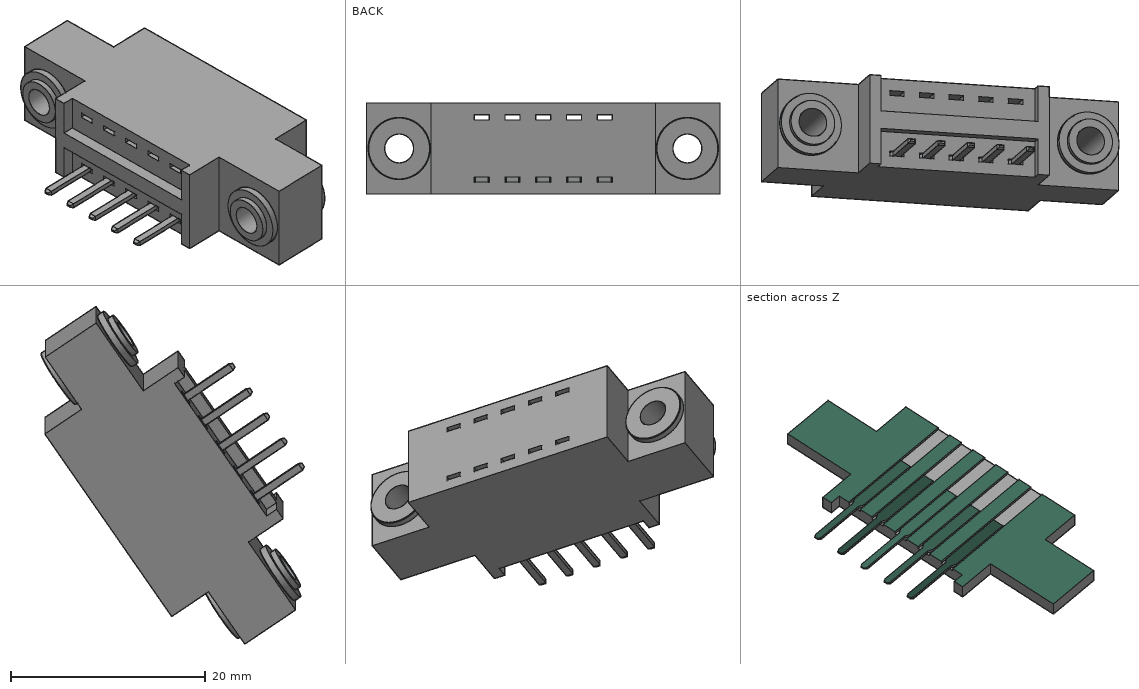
import cadquery as cq


TOTAL_LENGTH = 36.45
HOUSING_HEIGHT = 9.4
EAR_DEPTH = 6.35
REAR_BLOCK_LENGTH = 23.2
REAR_BLOCK_DEPTH = 4.6
FRONT_BLOCK_LENGTH = 19.2
FRONT_BLOCK_DEPTH = 4.35
REAR_FACE_Y = EAR_DEPTH + REAR_BLOCK_DEPTH
HOUSING_DEPTH = FRONT_BLOCK_DEPTH + REAR_FACE_Y

RECESS_LENGTH = 16.8
RECESS_DEPTH = 1.25
WEB_HEIGHT = 1.85
RECESS_HEIGHT = (HOUSING_HEIGHT - WEB_HEIGHT) / 2
RECESS_FLOOR_Y = -FRONT_BLOCK_DEPTH + RECESS_DEPTH

CONTACT_COUNT = 5
CONTACT_PITCH = 3.17
CONTACT_X = [CONTACT_PITCH * (i - (CONTACT_COUNT - 1) / 2) for i in range(CONTACT_COUNT)]
ROW_Z = 3.2
SLOT_WIDTH = 1.53
SLOT_HEIGHT = 0.5

PIN_WIDTH = 0.75
PIN_REACH = 4.75
TIP_LENGTH = 0.33
TIP_WIDTH = 0.45
TIP_THICKNESS = 0.2
SHOULDER_WIDTH = 1.3
SHOULDER_LENGTH = 7.3
SHOULDER_SETBACK = 0.2
TAPER_LENGTH = 0.55

BUSHING_SPACING = 29.7
FLANGE_DIAMETER = 6.4
FRONT_FLANGE_THICKNESS = 0.75
REAR_FLANGE_THICKNESS = 0.7
FLANGE_CHAMFER = 0.07
SLEEVE_DIAMETER = 4.65
SLEEVE_REACH = 0.6
BORE_DIAMETER = 2.95
BUSHING_X = [-BUSHING_SPACING / 2, BUSHING_SPACING / 2]


def block(length, depth, height, front_y, x=0, z=0):
    """Box centred on x and z that extends rearward from front_y."""
    return cq.Workplane("XY").box(length, depth, height).translate((x, front_y + depth / 2, z))


def make_housing():
    body = block(TOTAL_LENGTH, EAR_DEPTH, HOUSING_HEIGHT, 0)
    body = body.union(block(REAR_BLOCK_LENGTH, REAR_BLOCK_DEPTH, HOUSING_HEIGHT, EAR_DEPTH))
    body = body.union(block(FRONT_BLOCK_LENGTH, FRONT_BLOCK_DEPTH, HOUSING_HEIGHT, -FRONT_BLOCK_DEPTH))

    recess_z = (WEB_HEIGHT + RECESS_HEIGHT) / 2
    for side in (-1, 1):
        body = body.cut(
            block(RECESS_LENGTH, RECESS_DEPTH, RECESS_HEIGHT, -FRONT_BLOCK_DEPTH, z=side * recess_z)
        )
        for x in CONTACT_X:
            body = body.cut(
                block(SLOT_WIDTH, HOUSING_DEPTH, SLOT_HEIGHT, -FRONT_BLOCK_DEPTH, x, side * ROW_Z)
            )

    for x in BUSHING_X:
        body = body.cut(cq.Workplane("XZ").center(x, 0).circle(SLEEVE_DIAMETER / 2).extrude(-EAR_DEPTH))
    return body


def make_contact(x):
    """Flat contact: tapered tip, narrow pin, then a wider shoulder inside the slot."""
    tip_base_y = -FRONT_BLOCK_DEPTH - PIN_REACH + TIP_LENGTH
    taper_start_y = RECESS_FLOOR_Y + SHOULDER_SETBACK
    shoulder_start_y = taper_start_y + TAPER_LENGTH
    shoulder_end_y = shoulder_start_y + SHOULDER_LENGTH
    half_pin = PIN_WIDTH / 2
    half_shoulder = SHOULDER_WIDTH / 2

    blade = (
        cq.Workplane("XY")
        .polyline([
            (-half_pin, tip_base_y),
            (half_pin, tip_base_y),
            (half_pin, taper_start_y),
            (half_shoulder, shoulder_start_y),
            (half_shoulder, shoulder_end_y),
            (-half_shoulder, shoulder_end_y),
            (-half_shoulder, shoulder_start_y),
            (-half_pin, taper_start_y),
        ])
        .close()
        .extrude(SLOT_HEIGHT / 2, both=True)
    )
    tip = (
        cq.Workplane("XZ", origin=(0, tip_base_y, 0))
        .rect(PIN_WIDTH, SLOT_HEIGHT)
        .workplane(offset=TIP_LENGTH)
        .rect(TIP_WIDTH, TIP_THICKNESS)
        .loft()
    )
    return blade.union(tip).translate((x, 0, -ROW_Z))


def make_bushing(x):
    """Sleeve through the ear with a flange against each face, turned about an axis along Y."""
    bore_radius = BORE_DIAMETER / 2
    sleeve_radius = SLEEVE_DIAMETER / 2
    flange_radius = FLANGE_DIAMETER / 2
    chamfered_radius = flange_radius - FLANGE_CHAMFER
    sleeve_front_y = -FRONT_FLANGE_THICKNESS - SLEEVE_REACH
    rear_end_y = EAR_DEPTH + REAR_FLANGE_THICKNESS

    half_section = (
        cq.Workplane("YZ")
        .polyline([
            (sleeve_front_y, bore_radius),
            (sleeve_front_y, sleeve_radius),
            (-FRONT_FLANGE_THICKNESS, sleeve_radius),
            (-FRONT_FLANGE_THICKNESS, flange_radius),
            (-FLANGE_CHAMFER, flange_radius),
            (0, chamfered_radius),
            (0, sleeve_radius),
            (EAR_DEPTH, sleeve_radius),
            (EAR_DEPTH, flange_radius),
            (rear_end_y - FLANGE_CHAMFER, flange_radius),
            (rear_end_y, chamfered_radius),
            (rear_end_y, bore_radius),
        ])
        .close()
    )
    return half_section.revolve(360, (0, 0, 0), (1, 0, 0)).translate((x, 0, 0))


housing = make_housing()
contacts = [make_contact(x) for x in CONTACT_X]
bushings = [make_bushing(x) for x in BUSHING_X]

result = cq.Compound.makeCompound([
    housing.val(),
    *[contact.val() for contact in contacts],
    *[bushing.val() for bushing in bushings],
])